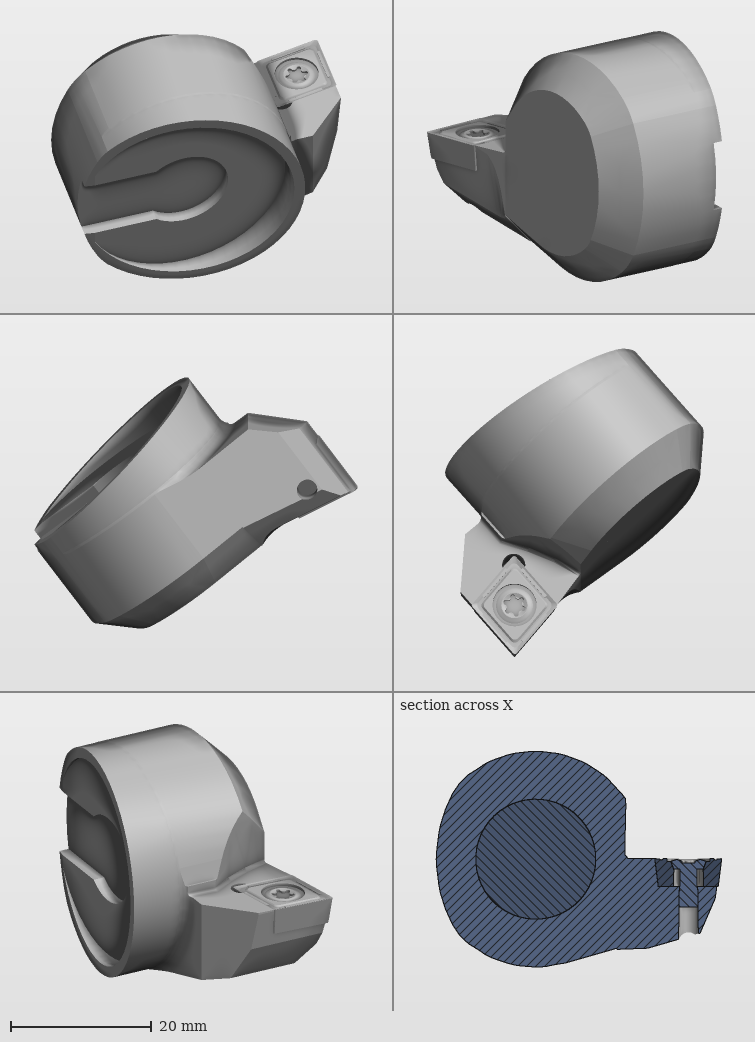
import cadquery as cq
import math


head_radius = 16.6
flat_side_reach = 15.4
flat_side_radius = 21.0
flat_blend_radius = 10.0
flank_angle = 16.0
lower_flank_end_y = 34.0
upper_flank_end_z = -5.0
chamfer = 4.55
chamfer_turn_angle = 37.5
chamfer_limit_y = 40.0
chamfer_limit_z = 3.0
blank_length = 30.0

rim_radius = 16.55
rim_start = 16.5
shoulder_fillet = 1.5
rear_angle = 9.0
rear_axis_x = 21.21
recess_radius = 15.0
slot_floor_x = 17.4
slot_width = 10.0
recess_floor_x = 19.1
center_bore_radius = 6.5

plug_radius = 8.5
plug_thickness = 4.0

inscribed_diameter = 9.525
rhombus_skew = 10.0
insert_thickness = 3.97
insert_clearance = 7.0
nose_radius = 0.4
tip_y = 26.5
insert_center_x = 2.54
insert_center_y = tip_y - inscribed_diameter / 2
pocket_y = tip_y - inscribed_diameter
rake_angle = 1.7
rake_pivot_x = -1.0
land_width = 0.05
groove_outer_inset = 0.55
groove_floor_inset = 1.0
island_inset = 1.25
groove_corner_radius = 0.7
groove_depth = 0.2
bump_length = 5.2
bump_outer_inset = 0.25
bump_inner_inset = 0.75
bump_depth = 0.1

screw_recess_radius = 3.13
screw_recess_depth = 0.4
screw_head_radius = 2.62
dome_radius = 1.9
dome_height = 0.25
seat_depth = 1.6
insert_hole_radius = 2.2
shank_radius = 1.45
shank_end_depth = 7.0
star_tip_radius = 1.65
star_lobe_radius = 0.34
star_core_radius = 1.3
star_notch_radius = 0.42
star_depth = 0.5
socket_mouth_radius = 1.82
socket_mouth_depth = 0.2
star_lobes = 6

ledge_start_y = 11.5
ledge_middle = (4.6, 13.25)
ledge_end = (10.9, 17.0)
ledge_fillet = 0.5
ledge_clearance = 20.0
lug_setback = 0.15
lug_end_y = tip_y - lug_setback
lug_corner_x = 9.0
lug_back_x = rim_start
lug_end_draft = 8.0
lug_break_z = -5.6
lug_lower_draft = 23.5
lug_bottom_z = -17.0
lug_top_z = 2.0
lug_flank_draft = 10.5
lug_chamfer_size = 4.4
throat_top = (-0.95, 14.8)
throat_start = (-0.93, 13.95)
throat_middle = (-1.15, 12.7)
throat_end = (-1.95, 11.4)
corner_relief_radius = 1.65
corner_relief_center = (7.1, 18.0)

far = 60.0


def tan_deg(angle):
    return math.tan(math.radians(angle))


def polar(radius, angle):
    return (radius * math.cos(math.radians(angle)), radius * math.sin(math.radians(angle)))


def along(point, angle, length):
    dy, dz = polar(length, angle)
    return (point[0] + dy, point[1] + dz)


def tilt(shape):
    """Tip a shape about the Y direction into the plane of the ledge."""
    return shape.rotate((rake_pivot_x, 0, 0), (rake_pivot_x, 1, 0), -rake_angle)



def flat_blend():
    """Start, middle and end of the blend between the round and the flattened side, above the axis."""
    flat_center_y = flat_side_radius - flat_side_reach
    to_round = head_radius - flat_blend_radius
    to_flat = flat_side_radius - flat_blend_radius
    center_y = (to_round**2 - to_flat**2 + flat_center_y**2) / (2 * flat_center_y)
    center_z = math.sqrt(to_round**2 - center_y**2)
    grow_round = head_radius / to_round
    grow_flat = flat_side_radius / to_flat
    on_round = (center_y * grow_round, center_z * grow_round)
    on_flat = (flat_center_y + (center_y - flat_center_y) * grow_flat, center_z * grow_flat)
    middle_angle = math.degrees(
        math.atan2(on_round[1] + on_flat[1] - 2 * center_z, on_round[0] + on_flat[0] - 2 * center_y)
    )
    return on_round, along((center_y, center_z), middle_angle, flat_blend_radius), on_flat


def mirrored(point):
    return (point[0], -point[1])


def round_side(upper_angle):
    """Open outline from the upper flank, over the round and flattened side, to the lower flank."""
    on_round, on_blend, on_flat = flat_blend()
    lower_angle = flank_angle - 90
    blend_angle = math.degrees(math.atan2(on_round[1], on_round[0]))
    return (
        cq.Workplane("YZ")
        .moveTo(*polar(head_radius, upper_angle))
        .threePointArc(polar(head_radius, (upper_angle + blend_angle) / 2), on_round)
        .threePointArc(on_blend, on_flat)
        .threePointArc((-flat_side_reach, 0), mirrored(on_flat))
        .threePointArc(mirrored(on_blend), mirrored(on_round))
        .threePointArc(polar(head_radius, (lower_angle - blend_angle) / 2), polar(head_radius, lower_angle))
    )


def lower_flank_point(y):
    start = polar(head_radius, flank_angle - 90)
    return (y, start[1] + (y - start[0]) * tan_deg(flank_angle))


def upper_flank_point(z, angle):
    start = polar(head_radius, angle)
    return (start[0] + (start[1] - z) * tan_deg(angle), z)


def head_blank():
    corner = upper_flank_point(upper_flank_end_z, flank_angle)
    return (
        round_side(flank_angle)
        .lineTo(*lower_flank_point(corner[0]))
        .lineTo(*corner)
        .close()
        .extrude(blank_length)
    )


def chamfer_envelope():
    """Everything inside the front chamfer, left sharp along the limits beyond the head."""
    limit_start = upper_flank_point(chamfer_limit_z, chamfer_turn_angle)
    blank = (
        round_side(chamfer_turn_angle)
        .lineTo(*lower_flank_point(chamfer_limit_y))
        .lineTo(chamfer_limit_y, chamfer_limit_z)
        .lineTo(*limit_start)
        .close()
        .extrude(blank_length)
    )
    chamfered_edges = [
        edge for edge in blank.faces("<X").edges().vals()
        if edge.Center().y < (limit_start[0] + chamfer_limit_y) / 2
    ]
    return blank.newObject(chamfered_edges).chamfer(chamfer)



def lug_edge_x(y):
    """X of the lug's leading edge at a given Y, just behind the edge of the insert."""
    half_side = inscribed_diameter / 2 / math.cos(math.radians(rhombus_skew))
    return insert_center_x + lug_setback - half_side - (y - insert_center_y) * tan_deg(rhombus_skew)


def lug_blank():
    """Lug bounded by its plan, the head's lower flank and its two-step end face."""
    plan = (
        cq.Workplane("XY", origin=(0, 0, lug_bottom_z))
        .moveTo(0, ledge_start_y)
        .lineTo(lug_edge_x(pocket_y), pocket_y)
        .lineTo(lug_edge_x(lug_end_y), lug_end_y)
        .lineTo(lug_corner_x, lug_end_y)
        .lineTo(lug_back_x, lug_end_y - (lug_back_x - lug_corner_x))
        .lineTo(lug_back_x, ledge_start_y)
        .close()
        .extrude(lug_top_z - lug_bottom_z)
    )
    break_y = lug_end_y + lug_break_z * tan_deg(lug_end_draft)
    bottom_y = break_y + (lug_bottom_z - lug_break_z) * tan_deg(lug_lower_draft)
    side = (
        cq.Workplane("YZ", origin=(-far / 2, 0, 0))
        .polyline([
            polar(head_radius, flank_angle - 90),
            lower_flank_point(lower_flank_end_y),
            (lower_flank_end_y, lug_top_z),
            (0, lug_top_z),
        ])
        .close()
        .extrude(far)
    )
    end = (
        cq.Workplane("YZ", origin=(-far / 2, 0, 0))
        .polyline([
            (lug_end_y, lug_top_z),
            (lug_end_y, 0),
            (break_y, lug_break_z),
            (bottom_y, lug_bottom_z),
            (0, lug_bottom_z),
            (0, lug_top_z),
        ])
        .close()
        .extrude(far)
    )
    return plan.intersect(side).intersect(end).cut(lug_chamfer())


def lug_flank_relief():
    """Space ahead of the lug's leading flank, leaning back with depth, with a round throat."""
    lean = tan_deg(lug_flank_draft) / math.cos(math.radians(rhombus_skew))

    def outline(z):
        shift = -z * lean
        return (
            cq.Workplane("XY", origin=(shift, 0, z))
            .moveTo(lug_edge_x(far / 2), far / 2)
            .lineTo(*throat_top)
            .lineTo(*throat_start)
            .threePointArc(throat_middle, throat_end)
            .lineTo(-far / 2, throat_end[1])
            .lineTo(-far / 2, far / 2)
            .close()
            .wire()
            .val()
        )

    return cq.Workplane(cq.Solid.makeLoft([outline(lug_top_z), outline(lug_bottom_z)], True))


def lug_chamfer():
    """Space below the lug's lower front edge; the chamfer follows the leading side of the lug."""
    side_slope = lug_edge_x(pocket_y) / (pocket_y - ledge_start_y)
    rise = 1 / math.cos(math.radians(flank_angle))

    def outline(y):
        edge_x = lug_chamfer_size + (y - ledge_start_y) * side_slope
        edge_z = lower_flank_point(y)[1]
        corners = [
            (edge_x + lug_chamfer_size, y, edge_z - lug_chamfer_size * rise),
            (edge_x - far, y, edge_z - lug_chamfer_size * rise),
            (edge_x - far, y, edge_z + far * rise),
        ]
        return cq.Wire.makePolygon([cq.Vector(*c) for c in corners], close=True)

    return cq.Workplane(cq.Solid.makeLoft([outline(0), outline(far)], True))


def ledge_cutter():
    """Space above the ledge, with a curved wall and a fillet at its foot."""
    cutter = (
        cq.Workplane("XY")
        .moveTo(-far / 2, ledge_start_y)
        .lineTo(0, ledge_start_y)
        .threePointArc(ledge_middle, ledge_end)
        .lineTo(far / 2, ledge_end[1])
        .lineTo(far / 2, far)
        .lineTo(-far / 2, far)
        .close()
        .extrude(ledge_clearance)
    )
    wall_edges = [
        edge for edge in cutter.faces("<Z").edges().vals()
        if edge.Center().y < tip_y
    ]
    return tilt(cutter.newObject(wall_edges).fillet(ledge_fillet))



def rim_turning():
    """Ring of material turned away around the rear rim and behind the lug."""
    fillet_top = rim_radius + shoulder_fillet
    fillet_middle = polar(shoulder_fillet, 225)
    return (
        cq.Workplane("XZ")
        .moveTo(rim_start - shoulder_fillet, far)
        .lineTo(rim_start - shoulder_fillet, fillet_top)
        .threePointArc(
            (rim_start + fillet_middle[0], fillet_top + fillet_middle[1]),
            (rim_start, rim_radius),
        )
        .lineTo(far, rim_radius)
        .lineTo(far, far)
        .close()
        .revolve(360, (0, 0, 0), (1, 0, 0))
    )


def rear_slant():
    run = far * tan_deg(rear_angle)
    return (
        cq.Workplane("XY", origin=(0, 0, -far / 2))
        .polyline([(rear_axis_x - run, -far), (rear_axis_x + run, far), (far, far), (far, -far)])
        .close()
        .extrude(far)
    )


def rim_slot():
    return cq.Workplane("XY").box(far, far / 2, slot_width, centered=(False, False, True)).translate(
        (slot_floor_x, -far / 2, 0)
    )



def rhombus(z, inset, corner_radius):
    """Rounded rhombus, the inset being measured inwards from the insert's rim."""
    half_height = inscribed_diameter / 2 - inset - corner_radius
    half_side = half_height / math.cos(math.radians(rhombus_skew))
    skew = half_height * tan_deg(rhombus_skew)
    return (
        cq.Workplane("XY", origin=(insert_center_x, insert_center_y, z))
        .polyline([
            (-half_side - skew, half_height),
            (half_side - skew, half_height),
            (half_side + skew, -half_height),
            (-half_side + skew, -half_height),
        ])
        .close()
        .offset2D(corner_radius)
    )


def rhombus_loft(z1, inset1, radius1, z2, inset2, radius2):
    wires = [rhombus(z1, inset1, radius1).val(), rhombus(z2, inset2, radius2).val()]
    return cq.Workplane(cq.Solid.makeLoft(wires, True))


def insert_envelope():
    return rhombus(0, 0, nose_radius).extrude(-insert_thickness, taper=insert_clearance)


def chip_groove():
    outer = rhombus_loft(
        0, land_width, nose_radius, -groove_depth, groove_outer_inset, groove_corner_radius
    )
    island = rhombus_loft(
        0, island_inset, groove_corner_radius, -groove_depth, groove_floor_inset, groove_corner_radius
    )
    return outer.cut(island).cut(chip_bumps())


def chip_bumps():
    """A low bump in the middle of each side of the groove."""
    height = groove_depth - bump_depth
    outer = rhombus(-groove_depth, bump_outer_inset, nose_radius).extrude(height)
    inner = rhombus(-groove_depth, bump_inner_inset, nose_radius).extrude(height)
    center = (insert_center_x, insert_center_y, 0)
    band = cq.Workplane("XY").box(bump_length, far, far).rotate((0, 0, 0), (0, 0, 1), rhombus_skew)
    cross_band = cq.Workplane("XY").box(far, bump_length, far)
    return outer.cut(inner).intersect(band.union(cross_band).translate(center))


def turned_on_screw_axis(profile):
    """Revolve a list of (radius, height) points about the screw axis."""
    return (
        cq.Workplane("YZ")
        .polyline(profile)
        .close()
        .revolve(360, (0, 0, 0), (0, 1, 0))
        .translate((insert_center_x, insert_center_y, 0))
    )


def insert_hole():
    """Recess, conical seat and through hole for the screw."""
    return turned_on_screw_axis([
        (0, 0),
        (screw_recess_radius, 0),
        (screw_recess_radius, -screw_recess_depth),
        (screw_head_radius, -screw_recess_depth),
        (insert_hole_radius, -seat_depth),
        (insert_hole_radius, -insert_thickness),
        (0, -insert_thickness),
    ])


def star_socket():
    """Six-lobed drive socket with a shallow conical mouth."""
    top = dome_height - screw_recess_depth
    plane = cq.Workplane("XY", origin=(insert_center_x, insert_center_y, top))
    socket = plane.circle(star_core_radius).extrude(-star_depth)
    pitch = 360 / star_lobes
    notch_distance = star_core_radius + star_notch_radius / 2
    for i in range(star_lobes):
        notch = polar(notch_distance, i * pitch)
        socket = socket.cut(plane.center(*notch).circle(star_notch_radius).extrude(-star_depth))
    for i in range(star_lobes):
        lobe = polar(star_tip_radius - star_lobe_radius, 90 + i * pitch)
        socket = socket.union(plane.center(*lobe).circle(star_lobe_radius).extrude(-star_depth))
    mouth = turned_on_screw_axis([
        (0, top),
        (socket_mouth_radius, top),
        (star_core_radius, top - socket_mouth_depth),
        (0, top - socket_mouth_depth),
    ])
    return socket.union(mouth)


def clamp_screw():
    body = turned_on_screw_axis([
        (0, dome_height - screw_recess_depth),
        (dome_radius, dome_height - screw_recess_depth),
        (screw_head_radius, -screw_recess_depth),
        (insert_hole_radius, -seat_depth),
        (shank_radius, -seat_depth),
        (shank_radius, -shank_end_depth),
        (0, -shank_end_depth),
    ])
    return tilt(body.cut(star_socket()))


def screw_hole():
    return tilt(
        cq.Workplane("XY", origin=(insert_center_x, insert_center_y, 0)).circle(shank_radius).extrude(-far)
    )


def corner_relief():
    return tilt(
        cq.Workplane("XY")
        .center(*corner_relief_center)
        .circle(corner_relief_radius)
        .extrude(-insert_thickness)
    )



insert = tilt(insert_envelope()).cut(tilt(insert_hole())).cut(tilt(chip_groove()))
screw = clamp_screw()
plug = cq.Workplane("YZ").circle(plug_radius).extrude(plug_thickness)
recess = cq.Workplane("YZ", origin=(recess_floor_x, 0, 0)).circle(recess_radius).extrude(far)
center_bore = cq.Workplane("YZ", origin=(slot_floor_x, 0, 0)).circle(center_bore_radius).extrude(far)

head = (
    head_blank()
    .intersect(chamfer_envelope())
    .union(lug_blank())
    .cut(lug_flank_relief())
    .cut(ledge_cutter())
    .cut(rim_turning())
    .cut(rear_slant())
    .cut(recess)
    .cut(center_bore)
    .cut(rim_slot())
    .cut(tilt(insert_envelope()))
    .cut(corner_relief())
    .cut(screw_hole())
    .cut(plug)
)

result = cq.Compound.makeCompound([head.val(), plug.val(), insert.val(), screw.val()])